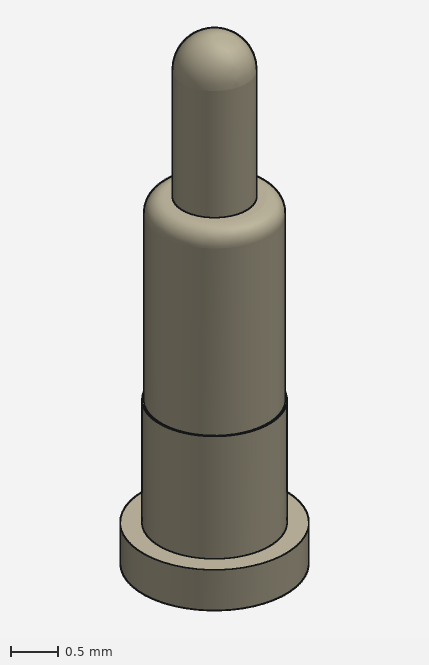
import cadquery as cq

total_height = 6.5

flange_diameter = 2.0
flange_height = 0.5

collar_diameter = 1.54
collar_top = 2.0

barrel_diameter = 1.5
barrel_top = 4.5
barrel_rounding = 0.2

plunger_diameter = 0.9
tip_radius = plunger_diameter / 2


def cylinder(diameter, bottom, top):
    """Solid cylinder on the Z axis between two heights."""
    return cq.Workplane("XY").workplane(offset=bottom).circle(diameter / 2).extrude(top - bottom)


flange = cylinder(flange_diameter, 0, flange_height)
collar = cylinder(collar_diameter, flange_height, collar_top)
barrel = cylinder(barrel_diameter, collar_top, barrel_top).faces(">Z").edges().fillet(barrel_rounding)

tip_center = total_height - tip_radius
plunger = cylinder(plunger_diameter, barrel_top, tip_center)
tip = (
    cq.Workplane("XZ")
    .moveTo(0, tip_center)
    .lineTo(tip_radius, tip_center)
    .radiusArc((0, total_height), -tip_radius)
    .close()
    .revolve(360, (0, 0, 0), (0, 1, 0))
)

result = flange.union(collar).union(barrel).union(plunger).union(tip)